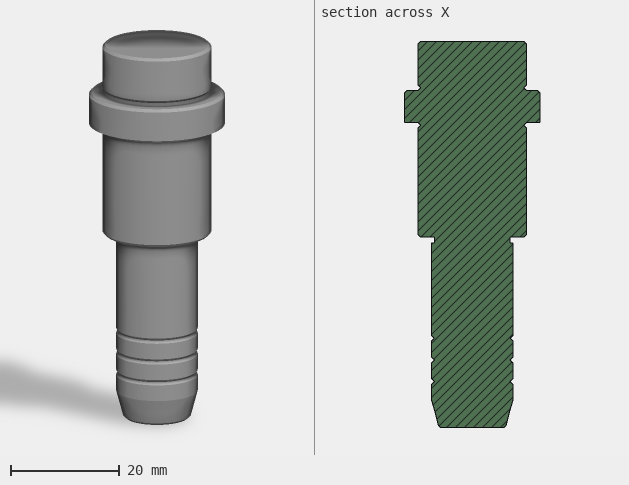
import cadquery as cq
import math

total_height = 71.0

collar_radius = 25.0 / 2
body_radius = 20.0 / 2
stem_radius = 15.0 / 2

chamfer = 0.5
groove_depth = 0.5
groove_width = 2 * groove_depth

head_length = 8.0
collar_length = 5.95
body_length = 20.0
neck_length = 1.0
stem_length = 17.05
ring_length = 3.0
ring_count = 3

tip_taper_degrees = 15
tip_chamfer_height = 0.4

head_bottom = total_height - head_length
collar_top = head_bottom - groove_width
collar_bottom = collar_top - collar_length
body_top = collar_bottom - groove_width
body_bottom = body_top - body_length
stem_top = body_bottom - neck_length
stem_bottom = stem_top - stem_length
ring_pitch = groove_width + ring_length
tip_top = stem_bottom - ring_count * ring_pitch


def v_groove(radius, top):
    """Profile points (radius, Z) of a V groove in a cylinder, from top to bottom."""
    return [
        (radius, top),
        (radius - groove_depth, top - groove_width / 2),
        (radius, top - groove_width),
    ]


def upper_profile():
    """Head, collar and body, down to the neck."""
    neck_radius = stem_radius - groove_depth
    return [
        (0, total_height),
        (body_radius - chamfer, total_height),
        (body_radius, total_height - chamfer),
        *v_groove(body_radius, head_bottom),
        (collar_radius - chamfer, collar_top),
        (collar_radius, collar_top - chamfer),
        (collar_radius, collar_bottom),
        *v_groove(body_radius, collar_bottom),
        (body_radius, body_bottom + chamfer),
        (body_radius - chamfer, body_bottom),
        (neck_radius, body_bottom),
        (neck_radius, stem_top),
    ]


def stem_profile():
    """Stem with a V groove above each ring, then the tapered, chamfered tip."""
    points = [(stem_radius, stem_top)]
    for ring in range(ring_count):
        points += v_groove(stem_radius, stem_bottom - ring * ring_pitch)
    taper_length = tip_top - tip_chamfer_height
    taper_end_radius = stem_radius - taper_length * math.tan(math.radians(tip_taper_degrees))
    points += [
        (stem_radius, tip_top),
        (taper_end_radius, tip_chamfer_height),
        (taper_end_radius - chamfer, 0),
        (0, 0),
    ]
    return points


profile = cq.Workplane("XZ").polyline(upper_profile() + stem_profile()).close()
result = profile.revolve(360, (0, 0, 0), (0, 1, 0))